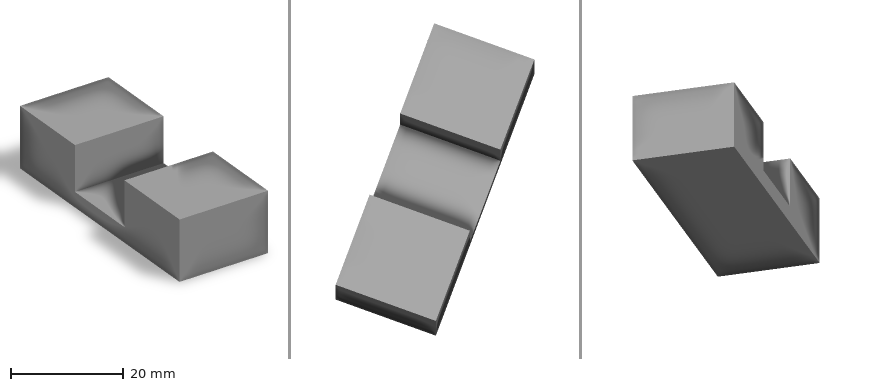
import cadquery as cq

length = 50.8
width = 19.05
height = 12.7

channel_width = 15.75
floor_thickness = height / 4
channel_depth = height - floor_thickness

block = cq.Workplane("XY").box(length, width, height, centered=(True, True, False))

channel = (
    cq.Workplane("XY")
    .workplane(offset=floor_thickness)
    .box(channel_width, width, channel_depth, centered=(True, True, False))
)

result = block.cut(channel)